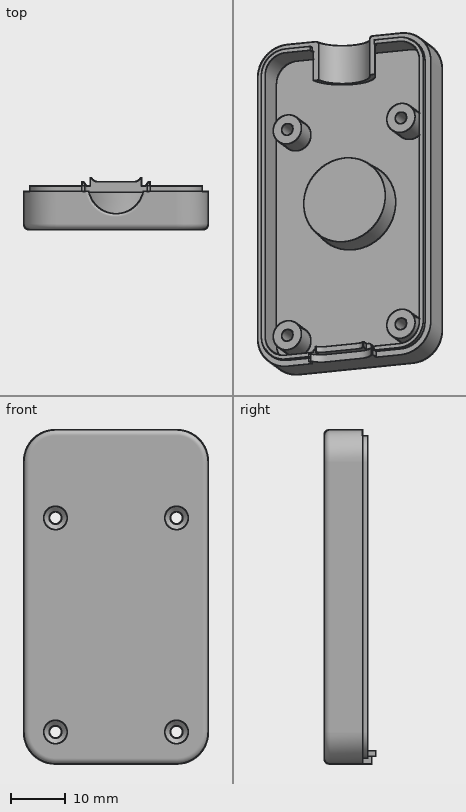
import cadquery as cq
import math

WIDTH = 33.6
HEIGHT = 60.9
BODY_DEPTH = 7.0
CORNER_RADIUS = 5.8
OUTER_FILLET = 1.05
WALL = 1.8
FLOOR = 2.0

LIP_INSET = 1.1
LIP_HEIGHT = 1.0
LIP_TOP = BODY_DEPTH + LIP_HEIGHT

SCREW_X = WIDTH / 2 - CORNER_RADIUS
SCREW_Z = (5.85, 44.8)
SCREW_CENTRES = [(x, z) for x in (-SCREW_X, SCREW_X) for z in SCREW_Z]
SCREW_DIAMETER = 2.2
COUNTERSINK_DIAMETER = 4.25
COUNTERSINK_ANGLE = 90
POST_DIAMETER = 5.5

BORE_RADIUS = 5.05
BORE_LIP_FILLET = 0.55
COLLAR_LENGTH = 7.3
COLLAR_WALL = 1.0

BOSS_TOP = 6.8
BOSS_TOP_RADIUS = 7.9
BOSS_DRAFT = 3.0
BOSS_Z = HEIGHT / 2

OUTER_TAB_WIDTH = 12.4
OUTER_TAB_TOP = 8.7
OUTER_TAB_DEPTH = 1.4
INNER_TAB_WIDTH = 9.4
INNER_TAB_TOP = 9.45
INNER_TAB_END = 2.45
PLUG_AXIS_Y = 10.2
PORT_WIDTH = 9.4
PORT_RADIUS = 1.4
PLUG_CLEARANCE = 1.6

PAD_FILLET = 0.55
PAD_WIDTH = OUTER_TAB_WIDTH - 2 * PAD_FILLET


def rounded_slab(inset, y_start, y_end):
    """Case outline moved inward by inset, extruded from y_start to y_end."""
    return (
        cq.Workplane("XZ", origin=(0, y_start, HEIGHT / 2))
        .rect(WIDTH - 2 * inset, HEIGHT - 2 * inset)
        .extrude(y_start - y_end)
        .edges("|Y")
        .fillet(CORNER_RADIUS - inset)
    )


def block(width, y_start, y_end, z_start, z_end):
    """Box centred on x = 0."""
    return (
        cq.Workplane("XY", origin=(0, (y_start + y_end) / 2, z_start))
        .rect(width, y_end - y_start)
        .extrude(z_end - z_start)
    )


def case_shell():
    body = rounded_slab(0, 0, BODY_DEPTH).faces("<Y").edges().fillet(OUTER_FILLET)
    lip = rounded_slab(LIP_INSET, BODY_DEPTH, LIP_TOP)
    return body.union(lip).cut(rounded_slab(WALL, FLOOR, LIP_TOP))


def boss():
    height = BOSS_TOP - FLOOR
    base_radius = BOSS_TOP_RADIUS + height * math.tan(math.radians(BOSS_DRAFT))
    return cq.Workplane(
        cq.Solid.makeCone(
            base_radius, BOSS_TOP_RADIUS, height, cq.Vector(0, FLOOR, BOSS_Z), cq.Vector(0, 1, 0)
        )
    )


def screw_posts():
    return (
        cq.Workplane("XZ", origin=(0, FLOOR, 0))
        .pushPoints(SCREW_CENTRES)
        .circle(POST_DIAMETER / 2)
        .extrude(FLOOR - BODY_DEPTH)
    )


def drill_screw_holes(part):
    return (
        part.copyWorkplane(cq.Workplane("XZ"))
        .pushPoints(SCREW_CENTRES)
        .cskHole(SCREW_DIAMETER, COUNTERSINK_DIAMETER, COUNTERSINK_ANGLE)
    )


def collar():
    radius = BORE_RADIUS + COLLAR_WALL
    tube = (
        cq.Workplane("XY", origin=(0, LIP_TOP, HEIGHT - COLLAR_LENGTH))
        .circle(radius)
        .extrude(COLLAR_LENGTH - WALL)
    )
    return tube.intersect(block(2 * radius, 0, BODY_DEPTH, 0, HEIGHT))


def cable_bore():
    """Bore along Z whose mouth flares with a rounded edge."""
    mouth_start = HEIGHT - BORE_LIP_FILLET
    diagonal = BORE_LIP_FILLET * math.sqrt(0.5)
    mouth_radius = BORE_RADIUS + BORE_LIP_FILLET
    profile = (
        cq.Workplane("XZ", origin=(0, LIP_TOP, 0))
        .moveTo(0, HEIGHT - COLLAR_LENGTH)
        .lineTo(BORE_RADIUS, HEIGHT - COLLAR_LENGTH)
        .lineTo(BORE_RADIUS, mouth_start)
        .threePointArc((mouth_radius - diagonal, mouth_start + diagonal), (mouth_radius, HEIGHT))
        .lineTo(0, HEIGHT)
        .close()
    )
    return profile.revolve(360, (0, 0, 0), (0, 1, 0))


def lip_gap():
    """Gap in the lip above the cable opening and its collar."""
    return block(OUTER_TAB_WIDTH, BODY_DEPTH, LIP_TOP, HEIGHT - COLLAR_LENGTH, HEIGHT)


def plug_slot(clearance, z_start, z_end):
    radius = PORT_RADIUS + clearance
    return (
        cq.Workplane("XY", origin=(0, PLUG_AXIS_Y, z_start))
        .slot2D(PORT_WIDTH + 2 * clearance, 2 * radius)
        .extrude(z_end - z_start)
    )


def plug_tab():
    pad = (
        block(PAD_WIDTH, FLOOR, LIP_TOP, LIP_INSET, INNER_TAB_END)
        .edges("|Y and >Z")
        .fillet(PAD_FILLET)
    )
    outer = block(OUTER_TAB_WIDTH, BODY_DEPTH, OUTER_TAB_TOP, 0, OUTER_TAB_DEPTH)
    inner = block(INNER_TAB_WIDTH, BODY_DEPTH, INNER_TAB_TOP, OUTER_TAB_DEPTH, INNER_TAB_END)
    return pad.union(outer).union(inner)


result = case_shell().union(screw_posts()).union(boss()).union(collar()).union(plug_tab())
result = result.cut(plug_slot(PLUG_CLEARANCE, 0, OUTER_TAB_DEPTH))
result = result.cut(plug_slot(0, OUTER_TAB_DEPTH, INNER_TAB_END))
result = result.cut(lip_gap()).cut(cable_bore())
result = drill_screw_holes(result)